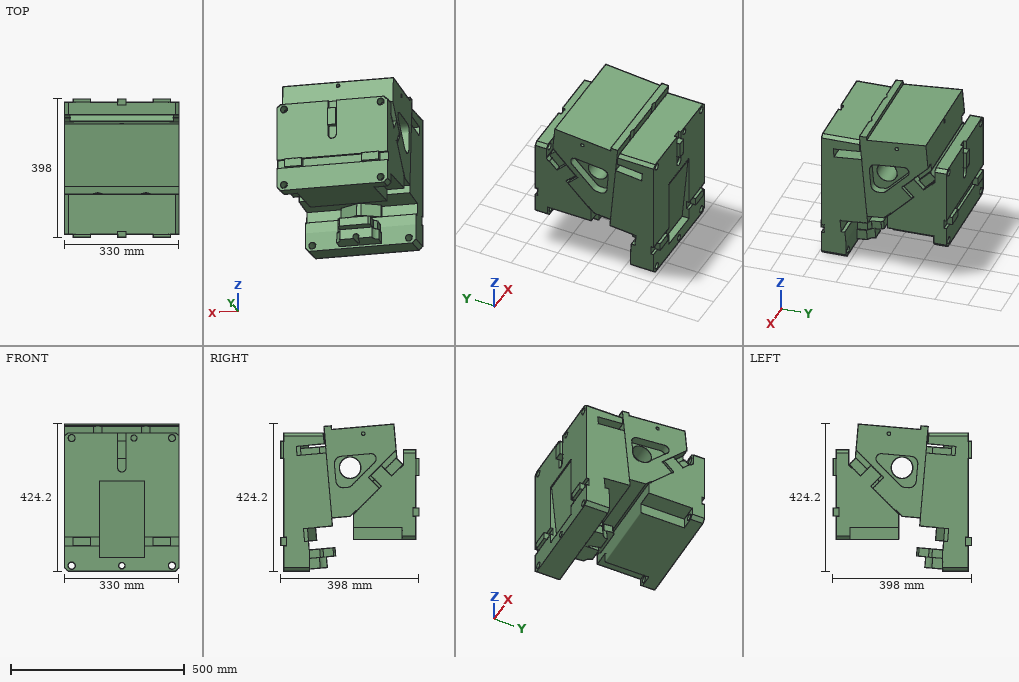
import cadquery as cq
import math

WIDTH = 330.0
HALF = WIDTH / 2
FRONT_FACE = 0.0
REAR_FACE = 380.0
FAR = 848.5

CHAMFER = 11.0
TOP_CHAMFER_HEIGHT = 9.0

CORNER_HOLE = 20.0
DOWEL_HOLE = 17.5
HOLE_X = 144.2
HOLE_FROM_TOP = 15.3
HOLE_FROM_BOTTOM = 16.5
OFFSET_DOWEL_X = 34.8

KEY_LENGTH = 50.0
KEY_HEIGHT = 23.8
SLOT_HEIGHT = 25.5
CENTRE_KEY_WIDTH = 24.5
KEY_PROTRUSION = 9.0
SLOT_DEPTH = 8.0
SIDE_KEY_X = 115.0
SLOT_RUNOUT = 39.0

REAR_BOTTOM = 91.0
REAR_TOP = 350.0
REAR_PLATE_THICKNESS = 36.0
REAR_FRONT = 200.2
REAR_CHEEK_BOTTOM = 126.0
REAR_FLANGE_THICKNESS = 40.0
REAR_FOOT_HALF = 114.0
REAR_FOOT_ROUND = 3.5
REAR_SIDE_KEY_Z = 171.0
REAR_CENTRE_KEY_Z = 300.5

INCLINE_OFFSET = -35.5
PAD_HEIGHT = 27.0
PAD_HALF = 148.5
PAD_START = 363.5
PAD_END = 460.0
CHEEK_HEIGHT = 43.0
CHEEK_START = 371.5
CHEEK_END = 413.5
TONGUE_HALF = 138.7
MOUTH_DEPTH = 1.5
MOUTH_LENGTH = 12.7

FRONT_TOP = 398.7
FRONT_SIDE_KEY_Z = 86.0
FRONT_CENTRE_KEY_Z = 350.0
FRONT_FOOT_BACK = 74.2
POCKET_WIDTH = 130.0
POCKET_BOTTOM = 40.0
POCKET_TOP = 260.5
POCKET_TOP_DEPTH = 3.0

TILT = math.radians(5)
TILT_Y = 140.5
TILT_Z = 130.2
BLOCK_RISE = 211.3
GROOVE_RISE = 237.5
SETBACK = 3.0
GROOVE_DEPTH = 84.0
NOTCH_DROP = 37.0
ROOT_DEPTH = 72.5
RIDGE_TIP_DEPTH = 48.8
RIDGE_ROOT_HALF = 59.5
RIDGE_TIP_HALF = 6.5

STOP_RISE = 230.5
STEP_DEPTH = 18.2
BASE_HALF = 62.8
UPPER_BASE_HALF = 59.5
RIB_HALF = 48.5
BRACKET_TOP = -62.0
BRACKET_STEP = -86.5
BRACKET_BOTTOM = -117.5
BRACKET_BASE_DEPTH = 43.0
BRACKET_TIP_DEPTH = -1.5
BRACKET_LOWER_TIP_DEPTH = 25.0
TIP_CHAMFER = 6.0
SHOULDER_CHAMFER = 9.8
SPRING_X = 69.0
SPRING_SEAT_RADIUS = 21.0
SPRING_SEAT_DEPTH = 25.5

SLIDE_LENGTH = 201.5
SLIDE_TOP = 277.5
SLIDE_BOTTOM = 23.5
LIP_LENGTH = 21.5
LIP_TOP = 288.0
CLEARANCE = 1.0
RELIEF = 2.0
RELIEF_END = 271.5
SPRING_GROOVE_RADIUS = 19.5
SPRING_GROOVE_CUT = 4.2
BORE = 61.0
BORE_Y = 191.0
BORE_Z = 298.2
WINDOW_DEPTH = 25.0
WINDOW_CORNERS = [
    ((290.0, 342.5), 15.0),
    ((144.0, 329.0), 21.0),
    ((152.0, 239.0), 21.0),
    ((190.5, 242.2), 21.0),
]
LIFTING_HOLE = 10.0
LIFTING_HOLE_DEPTH = 17.0
SIDE_LIFTING_Y = 228.5
SIDE_LIFTING_Z = 396.0
BACK_LIFTING_RISE = 266.5


def tilted(depth, rise):
    """(y, z) at a depth towards -Y from the contact face and a rise along it."""
    y = TILT_Y - depth * math.cos(TILT) - rise * math.sin(TILT)
    z = TILT_Z - depth * math.sin(TILT) + rise * math.cos(TILT)
    return (y, z)


def inclined(along, height):
    """(y, z) at a distance up the 45-degree incline and a height above it."""
    y = (along - height) / math.sqrt(2) - INCLINE_OFFSET / 2
    z = (along + height) / math.sqrt(2) + INCLINE_OFFSET / 2
    return (y, z)


def prism(points, half_width=HALF):
    """Extrude a closed (y, z) outline symmetrically across X."""
    return cq.Workplane("YZ").polyline(points).close().extrude(half_width, both=True)


def rectangle(frame, low, high):
    """Corners of a rectangle in one of the two frames."""
    corners = [(low[0], low[1]), (high[0], low[1]), (high[0], high[1]), (low[0], high[1])]
    return [frame(*corner) for corner in corners]


def box(x, y, z):
    """Axis-aligned box from (min, max) pairs."""
    size = (x[1] - x[0], y[1] - y[0], z[1] - z[0])
    return cq.Workplane("XY").box(*size, centered=False).translate((x[0], y[0], z[0]))


def mirrored(shape):
    """A shape together with its mirror image across X = 0."""
    return shape.union(shape.mirror("YZ"))


def symmetric(right):
    """Complete an (x, depth) outline with the mirror image of its right half."""
    return right + [(-x, depth) for x, depth in reversed(right)]


def tilted_plan(points, low_rise, high_rise):
    """Extrude an (x, depth) outline along the tilt direction between two rises."""
    y, z = tilted(0, low_rise)
    plane = cq.Plane(origin=(0, y, z), xDir=(1, 0, 0), normal=(0, -math.sin(TILT), math.cos(TILT)))
    outline = cq.Workplane(plane).polyline([(x, -depth) for x, depth in points]).close()
    return outline.extrude(high_rise - low_rise)


def tilted_cylinder(x, depth, radius, low_rise, high_rise):
    """Cylinder whose axis runs along the tilt direction."""
    y, z = tilted(depth, low_rise)
    axis = cq.Vector(0, -math.sin(TILT), math.cos(TILT))
    return cq.Workplane(cq.Solid.makeCylinder(radius, high_rise - low_rise, cq.Vector(x, y, z), axis))


def holes_along_y(diameter, positions):
    """Long cutting cylinders along Y at the given (x, z) positions."""
    plane = cq.Workplane("XZ", origin=(0, -FAR, 0)).pushPoints(positions)
    return plane.circle(diameter / 2).extrude(-2 * FAR)


def plate_envelope(bottom, top):
    """Front outline of a holder with its chamfered corners, extruded along Y."""
    right = [
        (HALF - CHAMFER, bottom),
        (HALF, bottom + CHAMFER),
        (HALF, top - TOP_CHAMFER_HEIGHT),
        (HALF - CHAMFER, top),
    ]
    left = [(-x, z) for x, z in reversed(right)]
    return cq.Workplane("XZ", origin=(0, -FAR, 0)).polyline(right + left).close().extrude(-2 * FAR)


def corner_positions(bottom, top):
    """(x, z) of the four corner holes of a holder."""
    levels = (bottom + HOLE_FROM_BOTTOM, top - HOLE_FROM_TOP)
    return [(x, z) for x in (-HOLE_X, HOLE_X) for z in levels]


def add_keys(holder, face, inward, top, side_z, centre_z):
    """Cut the key slots in an outer face and seat the three keys in them."""
    floor = face + inward * SLOT_DEPTH
    crest = face - inward * KEY_PROTRUSION
    slot_y = sorted((floor, face - inward * FAR))
    key_y = sorted((floor, crest))
    half_key = KEY_LENGTH / 2
    half_centre = CENTRE_KEY_WIDTH / 2
    round_z = centre_z - half_key - SLOT_RUNOUT + half_centre

    side_slot = box((-HALF, HALF), slot_y, (side_z - SLOT_HEIGHT / 2, side_z + SLOT_HEIGHT / 2))
    centre_slot = box((-half_centre, half_centre), slot_y, (round_z, top))
    slot_end = cq.Workplane("XZ", origin=(0, slot_y[0], 0)).center(0, round_z).circle(half_centre)
    slot_end = slot_end.extrude(slot_y[0] - slot_y[1])
    holder = holder.cut(side_slot).cut(centre_slot).cut(slot_end)

    key_x = (SIDE_KEY_X - half_key, SIDE_KEY_X + half_key)
    side_key = box(key_x, key_y, (side_z - KEY_HEIGHT / 2, side_z + KEY_HEIGHT / 2))
    centre_key = box((-half_centre, half_centre), key_y, (centre_z - half_key, centre_z + half_key))
    return holder.union(mirrored(side_key)).union(centre_key)


def incline_z(y):
    """Height of the incline at a given y."""
    return y + INCLINE_OFFSET


def make_rear_holder():
    plate_front = REAR_FACE - REAR_PLATE_THICKNESS
    flange_front = REAR_FACE - REAR_FLANGE_THICKNESS
    holder = prism([
        (REAR_FACE, REAR_BOTTOM),
        (REAR_FACE, REAR_TOP),
        (plate_front, REAR_TOP),
        (plate_front, incline_z(plate_front)),
        (REAR_FRONT, incline_z(REAR_FRONT)),
        (REAR_FRONT, REAR_BOTTOM),
    ])
    holder = holder.edges("|X and <Y and <Z").fillet(REAR_FOOT_ROUND)
    holder = holder.intersect(plate_envelope(REAR_BOTTOM, REAR_TOP))

    beside_foot = box((REAR_FOOT_HALF, HALF), (0, flange_front), (0, REAR_CHEEK_BOTTOM))
    holder = holder.cut(mirrored(beside_foot))

    mouth = rectangle(inclined, (PAD_END - MOUTH_LENGTH, -MOUTH_DEPTH), (PAD_END, 0))
    holder = holder.cut(prism(mouth))
    holder = holder.union(prism(rectangle(inclined, (PAD_START, 0), (PAD_END, PAD_HEIGHT)), PAD_HALF))
    cheek_outline = rectangle(inclined, (CHEEK_START, 0), (CHEEK_END, CHEEK_HEIGHT))
    cheeks = prism(cheek_outline).cut(prism(cheek_outline, TONGUE_HALF))
    holder = holder.union(cheeks)

    holes = holes_along_y(CORNER_HOLE, corner_positions(REAR_BOTTOM, REAR_TOP))
    holder = holder.cut(holes)
    return add_keys(holder, REAR_FACE, -1, REAR_TOP, REAR_SIDE_KEY_Z, REAR_CENTRE_KEY_Z)


def make_front_profile():
    """Plate, block and overhang with the groove and notch at full depth."""
    lip_y, lip_z = tilted(SETBACK, GROOVE_RISE)
    overhang_y = lip_y - (FRONT_TOP - lip_z) * math.tan(TILT)
    root_y, root_z = tilted(ROOT_DEPTH, -NOTCH_DROP)
    foot_z = root_z - (FRONT_FOOT_BACK - root_y) / math.tan(TILT)
    return prism([
        (FRONT_FACE, 0),
        (FRONT_FACE, FRONT_TOP),
        (overhang_y, FRONT_TOP),
        (lip_y, lip_z),
        tilted(GROOVE_DEPTH, GROOVE_RISE),
        tilted(GROOVE_DEPTH, BLOCK_RISE),
        tilted(0, BLOCK_RISE),
        tilted(0, 0),
        tilted(GROOVE_DEPTH, 0),
        tilted(GROOVE_DEPTH, -NOTCH_DROP),
        (root_y, root_z),
        (FRONT_FOOT_BACK, foot_z),
        (FRONT_FOOT_BACK, 0),
    ])


def make_ridge():
    """Tapered centre ridge standing in the groove and the notch."""
    plan = symmetric([
        (RIDGE_ROOT_HALF, GROOVE_DEPTH),
        (RIDGE_ROOT_HALF, ROOT_DEPTH),
        (RIDGE_TIP_HALF, RIDGE_TIP_DEPTH),
    ])
    return tilted_plan(plan, -NOTCH_DROP, GROOVE_RISE)


def make_stop():
    """Stepped ledge on top of the block, inside the groove."""
    base = prism(rectangle(tilted, (STEP_DEPTH, BLOCK_RISE), (ROOT_DEPTH, STOP_RISE)), BASE_HALF)
    rib = prism(rectangle(tilted, (0, BLOCK_RISE), (STEP_DEPTH, STOP_RISE)), RIB_HALF)
    return base.union(rib)


def make_bracket():
    """Two-layer spring bracket, rooted in the back of the plate."""
    shoulder = BRACKET_BASE_DEPTH - SHOULDER_CHAMFER
    base_plan = symmetric([
        (UPPER_BASE_HALF, GROOVE_DEPTH),
        (UPPER_BASE_HALF, BRACKET_BASE_DEPTH),
        (UPPER_BASE_HALF - SHOULDER_CHAMFER, shoulder),
    ])
    rib_plan = symmetric([
        (RIB_HALF, shoulder),
        (RIB_HALF, BRACKET_TIP_DEPTH + TIP_CHAMFER),
        (RIB_HALF - TIP_CHAMFER, BRACKET_TIP_DEPTH),
    ])
    lower_plan = symmetric([(BASE_HALF, GROOVE_DEPTH), (BASE_HALF, BRACKET_LOWER_TIP_DEPTH)])

    hollowed = tilted_plan(rib_plan, BRACKET_STEP, BRACKET_TOP)
    hollowed = hollowed.union(tilted_plan(lower_plan, BRACKET_BOTTOM, BRACKET_STEP))
    seat = tilted_cylinder(SPRING_X, SPRING_SEAT_DEPTH, SPRING_SEAT_RADIUS, BRACKET_BOTTOM, BRACKET_TOP)
    upper_base = tilted_plan(base_plan, BRACKET_STEP, BRACKET_TOP)
    return hollowed.cut(mirrored(seat)).union(upper_base)


def make_front_pocket():
    """Pocket in the outer face whose floor follows the tilt."""
    bottom_depth = POCKET_TOP_DEPTH + (POCKET_TOP - POCKET_BOTTOM) * math.tan(TILT)
    outline = [
        (FRONT_FACE, POCKET_BOTTOM),
        (bottom_depth, POCKET_BOTTOM),
        (POCKET_TOP_DEPTH, POCKET_TOP),
        (FRONT_FACE, POCKET_TOP),
    ]
    return prism(outline, POCKET_WIDTH / 2)


def make_front_holder():
    holder = make_front_profile().intersect(plate_envelope(0, FRONT_TOP))
    holder = holder.union(make_ridge()).union(make_stop()).union(make_bracket())
    holder = add_keys(holder, FRONT_FACE, 1, FRONT_TOP, FRONT_SIDE_KEY_Z, FRONT_CENTRE_KEY_Z)
    holder = holder.cut(make_front_pocket())
    dowels = [(0, HOLE_FROM_BOTTOM), (OFFSET_DOWEL_X, FRONT_TOP - HOLE_FROM_TOP)]
    holder = holder.cut(holes_along_y(CORNER_HOLE, corner_positions(0, FRONT_TOP)))
    return holder.cut(holes_along_y(DOWEL_HOLE, dowels))


def make_window():
    """Rounded recess in each side, around the cross bore."""
    window = prism([point for point, radius in WINDOW_CORNERS])
    for (y, z), radius in WINDOW_CORNERS:
        corner = cq.selectors.NearestToPointSelector((0, y, z))
        window = window.edges("|X").edges(corner).fillet(radius)
    core = box((WINDOW_DEPTH - HALF, HALF - WINDOW_DEPTH), (0, FAR), (0, FAR))
    return window.cut(core)


def cut_incline_faces(slide):
    """Shape the underside that rides on the rear holder."""
    below = rectangle(inclined, (-FAR, -FAR), (FAR, 0))
    lower_relief = rectangle(inclined, (-FAR, 0), (RELIEF_END, RELIEF))
    over_pad = rectangle(inclined, (PAD_START, 0), (FAR, PAD_HEIGHT))
    over_cheeks = rectangle(inclined, (PAD_START, 0), (FAR, CHEEK_HEIGHT + CLEARANCE))
    beside_tongue = prism(over_cheeks).cut(prism(over_cheeks, TONGUE_HALF))
    return slide.cut(prism(below)).cut(prism(lower_relief)).cut(prism(over_pad)).cut(beside_tongue)


def make_slide():
    slide = prism(rectangle(tilted, (-SLIDE_LENGTH, SLIDE_BOTTOM), (0, SLIDE_TOP)))
    slide = slide.union(prism(rectangle(tilted, (-LIP_LENGTH, SLIDE_TOP), (0, LIP_TOP))))
    slide = cut_incline_faces(slide)

    groove_depth = SPRING_GROOVE_RADIUS - SPRING_GROOVE_CUT
    groove = tilted_cylinder(SPRING_X, groove_depth, SPRING_GROOVE_RADIUS, 0, LIP_TOP)
    slide = slide.cut(mirrored(groove))

    bore = cq.Workplane("YZ").center(BORE_Y, BORE_Z).circle(BORE / 2).extrude(HALF, both=True)
    slide = slide.cut(make_window()).cut(bore)

    side_hole = cq.Workplane("YZ", origin=(HALF, 0, 0)).center(SIDE_LIFTING_Y, SIDE_LIFTING_Z)
    side_hole = side_hole.circle(LIFTING_HOLE / 2).extrude(-LIFTING_HOLE_DEPTH)
    back_y, back_z = tilted(-SLIDE_LENGTH, BACK_LIFTING_RISE)
    into_back = cq.Vector(0, -math.cos(TILT), -math.sin(TILT))
    back_hole = cq.Solid.makeCylinder(
        LIFTING_HOLE / 2, LIFTING_HOLE_DEPTH, cq.Vector(0, back_y, back_z), into_back
    )
    return slide.cut(mirrored(side_hole)).cut(cq.Workplane(back_hole))


rear_holder = make_rear_holder()
front_holder = make_front_holder()
slide = make_slide()
result = cq.Compound.makeCompound([
    rear_holder.solids().val(),
    front_holder.solids().val(),
    slide.solids().val(),
])